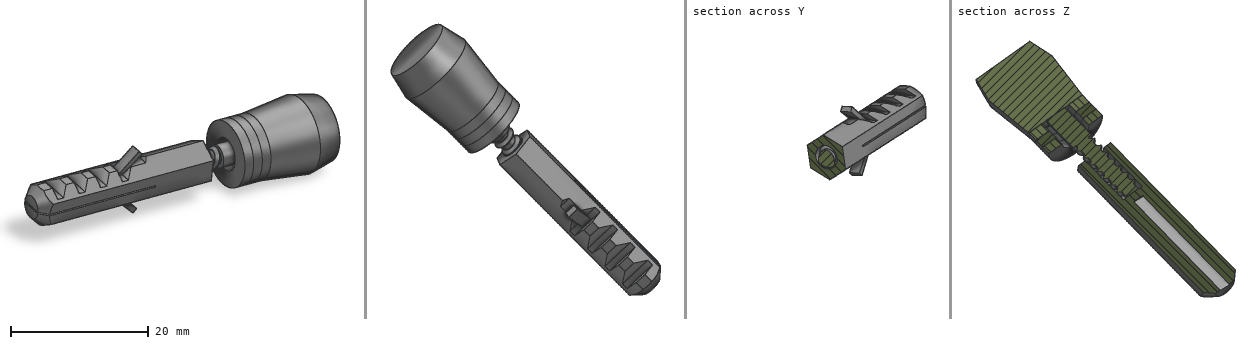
import cadquery as cq
import math


total_length = 50.45
knob_length = 12.0
knob_end_taper_length = 4.0
ring_thickness = 1.5
ring_count = 3
collar_exposed_length = 1.5
plug_length = 29.6

knob_back_y = total_length - knob_length
rings_front_y = knob_back_y - ring_count * ring_thickness
collar_end_y = rings_front_y - collar_exposed_length

knob_max_radius = 6.0
knob_end_radius = 5.1
ring_hole_radius = 2.5

collar_radius = 1.75
core_radius = 1.15
thread_crest_radius = 1.7
thread_crest_width = 0.1
thread_base_width = 0.9
thread_pitch = 1.5
thread_tilt = 17.0
first_thread_y = 31.6
thread_count = 7
screw_tip_y = 20.95

plug_corner_radius = 3.5
plug_turn = 9.0
plug_tip_radius = 1.75
plug_nose_length = plug_corner_radius - plug_tip_radius
slit_end_y = 19.65
slit_width = 0.25

ridge_height = 3.0
ridge_start_y = 19.05
ridge_ramp_length = 0.6
notch_floor_height = 2.0
first_notch_y = 14.05
last_notch_y = 2.75
notch_count = 4
notch_pitch = (first_notch_y - last_notch_y) / (notch_count - 1)
notch_floor_length = 1.0
notch_ramp_length = 1.4

barb_width = 1.7
barb_root_height = 1.75
barb_root_lower_y = 13.9
barb_root_upper_y = 14.95
barb_tip_outer = (17.7, 5.3)
barb_tip_inner = (18.3, 4.7)


def revolved(profile):
    """Solid of revolution about the Y axis with its outline given as (radius, Y) points."""
    return cq.Workplane("XY").polyline(profile).close().revolve(360, (0, 0), (0, 1))


def make_knob():
    """Solid of two cones meeting at the largest diameter."""
    profile = [
        (0, knob_back_y),
        (knob_end_radius, knob_back_y),
        (knob_max_radius, total_length - knob_end_taper_length),
        (knob_end_radius, total_length),
        (0, total_length),
    ]
    return revolved(profile)


def make_ring(front_y):
    """Spacer ring with a clearance hole around the screw collar."""
    sketch = cq.Workplane("XZ", origin=(0, front_y, 0))
    return sketch.circle(knob_end_radius).circle(ring_hole_radius).extrude(-ring_thickness)


def make_thread_ridge(center_y):
    """V-shaped ring around the core, tilted so that its +Z side lies nearer the knob."""
    profile = [
        (0, -thread_base_width / 2),
        (core_radius, -thread_base_width / 2),
        (thread_crest_radius, -thread_crest_width / 2),
        (thread_crest_radius, thread_crest_width / 2),
        (core_radius, thread_base_width / 2),
        (0, thread_base_width / 2),
    ]
    ridge = revolved(profile)
    return ridge.rotate((0, 0, 0), (1, 0, 0), -thread_tilt).translate((0, center_y, 0))


def make_screw():
    """Core and wider collar in one piece with the row of thread ridges."""
    profile = [
        (0, screw_tip_y),
        (core_radius, screw_tip_y),
        (core_radius, collar_end_y),
        (collar_radius, collar_end_y),
        (collar_radius, knob_back_y),
        (0, knob_back_y),
    ]
    screw = revolved(profile)
    for index in range(thread_count):
        screw = screw.union(make_thread_ridge(first_thread_y - index * thread_pitch))
    return screw


def along_x(points, width):
    """Prism centred on X = 0 with its outline given as (Y, Z) points."""
    return cq.Workplane("YZ").polyline(points).close().extrude(width / 2, both=True)


def ridge_relief():
    """Cut that flattens the upper corner of the plug from the tip to a short ramp."""
    ramp_rise = plug_corner_radius - ridge_height
    return along_x(
        [
            (0, ridge_height),
            (ridge_start_y, ridge_height),
            (ridge_start_y + ridge_ramp_length, ridge_height + ramp_rise),
            (0, ridge_height + ramp_rise),
        ],
        2 * plug_corner_radius,
    )


def notch(step_y):
    """Sawtooth notch with a step towards the tip and a ramp towards the mouth."""
    floor_end_y = step_y + notch_floor_length
    slope = notch_ramp_length / (ridge_height - notch_floor_height)
    ramp_end_y = floor_end_y + slope * (plug_corner_radius - notch_floor_height)
    return along_x(
        [
            (step_y, notch_floor_height),
            (floor_end_y, notch_floor_height),
            (ramp_end_y, plug_corner_radius),
            (step_y, plug_corner_radius),
        ],
        2 * plug_corner_radius,
    )


def make_barb():
    """Tapered tongue leaning out and back towards the mouth."""
    return along_x(
        [
            (barb_root_lower_y, barb_root_height),
            barb_tip_outer,
            barb_tip_inner,
            (barb_root_upper_y, barb_root_height),
        ],
        barb_width,
    )


def both_sides(shape):
    """The shape together with its mirror image below the axis."""
    return shape.union(shape.mirror("XY"))


def make_plug():
    """Hexagonal plug with a conical nose, teeth, barbs, an expansion slit and a blind screw hole."""
    corners = [
        (
            plug_corner_radius * math.sin(math.radians(60 * index)),
            plug_corner_radius * math.cos(math.radians(60 * index)),
        )
        for index in range(6)
    ]
    body = cq.Workplane("XZ").polyline(corners).close().extrude(-plug_length)

    nose_profile = [
        (0, 0),
        (plug_tip_radius, 0),
        (plug_corner_radius, plug_nose_length),
        (plug_corner_radius, plug_length),
        (0, plug_length),
    ]
    body = body.intersect(revolved(nose_profile))

    body = body.cut(both_sides(ridge_relief()))
    for index in range(notch_count):
        body = body.cut(both_sides(notch(last_notch_y + index * notch_pitch)))
    body = body.union(both_sides(make_barb()))

    slit_size = (2 * plug_corner_radius, slit_end_y, slit_width)
    slit = cq.Workplane("XY").box(*slit_size, centered=(True, False, True))
    hole_depth = plug_length - screw_tip_y
    screw_hole = cq.Workplane("XZ", origin=(0, screw_tip_y, 0)).circle(collar_radius).extrude(-hole_depth)
    body = body.cut(slit).cut(screw_hole)
    return body.rotate((0, 0, 0), (0, 1, 0), plug_turn)


knob = make_knob()
rings = [make_ring(rings_front_y + index * ring_thickness) for index in range(ring_count)]
screw = make_screw()
plug = make_plug()

result = cq.Compound.makeCompound([knob.val(), *[ring.val() for ring in rings], screw.val(), plug.val()])